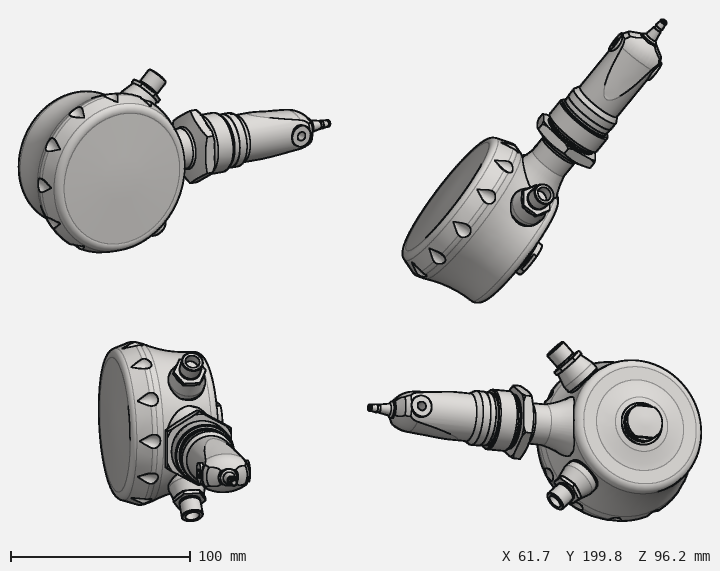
import cadquery as cq
import math

RIDGE_RADIUS = 45.5
RIDGE_CROWN = 0.2
NECK_RADIUS = 38.2
RIM_FACE_RADIUS = 33.5
RIM_DEPTH = 4.8
FLARE_END = (33.5, 44.2)
RIDGE_START = 37.4
RIDGE_END = 40.2
REAR_EDGE = (48.5, 42.5)
REAR_FACE = (51.2, 37.5)
REAR_TIP = 52.5
HUB_FACE = -3.2
HUB_EDGE = (-2.4, 15.5)
HUB_MIDDLE = (-1.0, 20.0)
HUB_FOOT_RADIUS = 26.0

CAP_RADIUS = 10.4
CAP_SHOULDER = -5.8
CAP_LIP_BOTTOM = -4.5
CAP_STEM_RADIUS = 10.0
CAP_TOP = -8.0
CAP_TIP = -9.2
CAP_FLAT = 8.8
CAP_SEAT_RADIUS = 12.0
CAP_SEAT_DEPTH = 0.8

DIMPLE_COUNT = 12
DIMPLE_RADIUS = 4.2
DIMPLE_CENTRE = (39.2, 47.0)
DIMPLE_TAIL = (47.2, 43.2)

HANDLE_X = 18.8
HANDLE_TIP = 154.5
HANDLE_ROOT = 35.2
FLARE_ROOT_RADIUS = 17.0
FLARE_MIDDLE = (13.0, 44.0)
FLARE_TOP = 50.0
NECK_TOP = 59.2
NECK_STEM_RADIUS = 11.4
GRIP_RADIUS = 13.4
GRIP_TOP = 134.0
GRIP_END_RADIUS = 4.4
GRIP_END = 141.2

GRIP_SHOULDER = (11.5, 136.8)

GROOVE_RADIUS = 14.8
LOWER_GROOVE_TOP = 69.5
SEAL_RADIUS = 15.4
SEAL_TOP = 70.8
RING_RADIUS = 16.8
RING_BOTTOM = 72.4
RING_TOP = 82.0
RING_BEVEL_RADIUS = 16.2
RING_BEVEL_TOP = 82.8
UPPER_GROOVE_TOP = 84.2
SLEEVE_RADIUS = 15.0
SLEEVE_TOP = 87.4
COLLAR_RADIUS = 15.2
COLLAR_TOP = 92.0
COLLAR_BEVEL_TOP = 95.2
MARK_DIAMETER = 1.25
MARK_Y = 91.2
MARK_DEPTH = 0.8

NOZZLE_FOOT_RADIUS = 4.8
NOZZLE_CONE_BASE = (3.4, 142.4)
BARB_RADIUS = 2.4
LOWER_BARB_TOP = 148.2
NOZZLE_STEM_RADIUS = 2.0
UPPER_BARB_BOTTOM = 149.8
UPPER_BARB_NECK_RADIUS = 1.8
TIP_RING_BOTTOM = 153.2
TIP_BEVEL = 0.5

CROWN_OFFSET = 10.8
TAPER_START = 101.8
TAPER_END = 129.5
TAPER_HEIGHT = 11.0
CROWN_END = 140.4
CROWN_END_HEIGHT = 4.4

EYE_Y = 128.2
EYE_HOLE_DIAMETER = 5.0
EYE_BOSS_DIAMETER = 12.0
EYE_BOSS_REACH = 14.0

NUT_WIDTH = 36.5
NUT_BEVEL = 1.4
NUT_BOTTOM = 60.5
NUT_TOP = 69.0
NUT_NECK_RADIUS = 12.0
NUT_CONE_TOP = 64.2
NUT_BEVEL_BOTTOM = 68.0

CONNECTOR_X = 17.0
CONNECTOR_ANGLE = 45.0
CONNECTOR_END = 62.4
PLUG_RADIUS = 6.0
PLUG_CHAMFER = 0.4
PLUG_GROOVE = 0.2
PLUG_BASE = 53.8
CONNECTOR_HEX_WIDTH = 16.0
CONNECTOR_HEX_TOP = 52.5
CONNECTOR_HEX_BOTTOM = 50.4
SOCKET_RADIUS = 10.4
SOCKET_TOP_RADIUS = 8.4
SOCKET_SHOULDER = 43.0
SOCKET_STEP = 38.8
SOCKET_FOOT_RADIUS = 10.0
SOCKET_ROOT = 28.0
BORE_DIAMETER = 8.0
BORE_DEPTH = 6.0


def make_body():
    arc_share = math.sqrt(0.5)
    rim_round_mid = (
        RIM_DEPTH * (1 - arc_share),
        RIM_FACE_RADIUS + (NECK_RADIUS - RIM_FACE_RADIUS) * arc_share,
    )
    ridge_middle = (RIDGE_START + RIDGE_END) / 2
    ridge_side = RIDGE_RADIUS - RIDGE_CROWN
    profile = (
        cq.Workplane("XY")
        .moveTo(HUB_FACE, 0)
        .lineTo(HUB_FACE, CAP_SEAT_RADIUS)
        .lineTo(*HUB_EDGE)
        .threePointArc(HUB_MIDDLE, (0, HUB_FOOT_RADIUS))
        .lineTo(0, RIM_FACE_RADIUS)
        .threePointArc(rim_round_mid, (RIM_DEPTH, NECK_RADIUS))
        .tangentArcPoint(FLARE_END, relative=False)
        .lineTo(RIDGE_START, ridge_side)
        .threePointArc((ridge_middle, RIDGE_RADIUS), (RIDGE_END, ridge_side))
        .lineTo(*REAR_EDGE)
        .tangentArcPoint(REAR_FACE, relative=False)
        .lineTo(REAR_TIP, 0)
        .close()
    )
    return profile.revolve(360, (0, 0, 0), (1, 0, 0))


def make_cap():
    cap = (
        cq.Workplane("XY")
        .moveTo(0, 0)
        .lineTo(0, CAP_STEM_RADIUS)
        .lineTo(CAP_LIP_BOTTOM, CAP_STEM_RADIUS)
        .lineTo(CAP_LIP_BOTTOM, CAP_RADIUS)
        .lineTo(CAP_TOP, CAP_RADIUS)
        .lineTo(CAP_TIP, 0)
        .close()
        .revolve(360, (0, 0, 0), (1, 0, 0))
    )
    flats_height = CAP_SHOULDER - CAP_TIP
    block = cq.Workplane("XY").box(flats_height, 2 * CAP_RADIUS, 2 * CAP_RADIUS)
    flatted_core = cq.Workplane("XY").box(flats_height, 2 * CAP_RADIUS, 2 * CAP_FLAT)
    flats = block.cut(flatted_core).translate((CAP_TIP + flats_height / 2, 0, 0))
    return cap.cut(flats)


def make_cap_seat():
    return (
        cq.Workplane("YZ", origin=(HUB_FACE, 0, 0))
        .circle(CAP_SEAT_RADIUS)
        .circle(CAP_RADIUS)
        .extrude(CAP_SEAT_DEPTH)
    )


def make_dimple():
    """Teardrop turned about a sloping line, its pointed tail on the tapering rear."""
    centre_x, centre_z = DIMPLE_CENTRE
    run = DIMPLE_TAIL[0] - centre_x
    drop = centre_z - DIMPLE_TAIL[1]
    length = math.hypot(run, drop)
    tail_angle = math.asin(DIMPLE_RADIUS / length)
    return (
        cq.Workplane("XY")
        .moveTo(-DIMPLE_RADIUS, 0)
        .spline(
            [(0, DIMPLE_RADIUS), (length, 0)],
            tangents=[(0, 1), (math.cos(tail_angle), -math.sin(tail_angle))],
            includeCurrent=True,
        )
        .close()
        .revolve(360, (0, 0, 0), (1, 0, 0))
        .rotate((0, 0, 0), (0, 1, 0), math.degrees(math.atan2(drop, run)))
        .translate((centre_x, 0, centre_z))
    )


def turned_about_y(start, steps):
    """Solid turned about the Y axis from (radius, y) points, closed along the axis."""
    profile = cq.Workplane("XY").polyline([(0, start)] + steps + [(0, steps[-1][1])])
    return profile.close().revolve(360, (0, 0, 0), (0, 1, 0))


def make_neck():
    return (
        cq.Workplane("XY")
        .moveTo(0, NUT_BOTTOM)
        .lineTo(NUT_NECK_RADIUS, NUT_BOTTOM)
        .lineTo(NECK_STEM_RADIUS, NECK_TOP)
        .lineTo(NECK_STEM_RADIUS, FLARE_TOP)
        .threePointArc(FLARE_MIDDLE, (FLARE_ROOT_RADIUS, HANDLE_ROOT))
        .lineTo(0, HANDLE_ROOT)
        .close()
        .revolve(360, (0, 0, 0), (0, 1, 0))
    )


def make_nut():
    corner_radius = NUT_WIDTH / math.sqrt(3)
    hexagon = (
        cq.Workplane("XZ", origin=(0, NUT_TOP, 0))
        .transformed(rotate=(0, 0, 90))
        .polygon(6, 2 * corner_radius)
        .extrude(NUT_TOP - NUT_BOTTOM)
    )
    bevelled = turned_about_y(
        NUT_BOTTOM,
        [
            (NUT_NECK_RADIUS, NUT_BOTTOM),
            (corner_radius, NUT_CONE_TOP),
            (corner_radius, NUT_BEVEL_BOTTOM),
            (corner_radius - NUT_BEVEL, NUT_TOP),
        ],
    )
    return hexagon.intersect(bevelled)


def make_collars():
    """Stepped rings between the nut and the grip."""
    return turned_about_y(
        NUT_TOP,
        [
            (GROOVE_RADIUS, NUT_TOP),
            (GROOVE_RADIUS, LOWER_GROOVE_TOP),
            (SEAL_RADIUS, LOWER_GROOVE_TOP),
            (SEAL_RADIUS, SEAL_TOP),
            (RING_RADIUS, RING_BOTTOM),
            (RING_RADIUS, RING_TOP),
            (RING_BEVEL_RADIUS, RING_BEVEL_TOP),
            (GROOVE_RADIUS, RING_BEVEL_TOP),
            (GROOVE_RADIUS, UPPER_GROOVE_TOP),
            (SLEEVE_RADIUS, UPPER_GROOVE_TOP),
            (SLEEVE_RADIUS, SLEEVE_TOP),
            (COLLAR_RADIUS, SLEEVE_TOP),
            (COLLAR_RADIUS, COLLAR_TOP),
            (GRIP_RADIUS, COLLAR_BEVEL_TOP),
        ],
    )


def make_crown_envelope():
    """Wide turned solid whose upper surface is the tapered, rounded top of the grip."""
    return (
        cq.Workplane("XY")
        .moveTo(0, NUT_TOP)
        .lineTo(CROWN_OFFSET + GRIP_RADIUS, NUT_TOP)
        .lineTo(CROWN_OFFSET + GRIP_RADIUS, TAPER_START)
        .lineTo(CROWN_OFFSET + TAPER_HEIGHT, TAPER_END)
        .tangentArcPoint((CROWN_OFFSET + CROWN_END_HEIGHT, CROWN_END), relative=False)
        .lineTo(0, CROWN_END)
        .close()
        .revolve(360, (0, 0, 0), (0, 1, 0))
        .translate((0, 0, -CROWN_OFFSET))
    )


def make_grip():
    grip = turned_about_y(
        NUT_TOP,
        [
            (GRIP_RADIUS, NUT_TOP),
            (GRIP_RADIUS, GRIP_TOP),
            GRIP_SHOULDER,
            (GRIP_END_RADIUS, GRIP_END),
        ],
    )
    envelope = make_crown_envelope()
    return grip.intersect(envelope).intersect(envelope.mirror("XY"))


def make_nozzle():
    """Stepped cable nozzle at the end of the handle."""
    return turned_about_y(
        GRIP_TOP,
        [
            (NOZZLE_FOOT_RADIUS, GRIP_TOP),
            (NOZZLE_FOOT_RADIUS, GRIP_END),
            NOZZLE_CONE_BASE,
            (BARB_RADIUS, LOWER_BARB_TOP),
            (NOZZLE_STEM_RADIUS, LOWER_BARB_TOP),
            (NOZZLE_STEM_RADIUS, UPPER_BARB_BOTTOM),
            (BARB_RADIUS, UPPER_BARB_BOTTOM),
            (UPPER_BARB_NECK_RADIUS, TIP_RING_BOTTOM),
            (NOZZLE_STEM_RADIUS, TIP_RING_BOTTOM),
            (NOZZLE_STEM_RADIUS, HANDLE_TIP - TIP_BEVEL),
            (NOZZLE_STEM_RADIUS - TIP_BEVEL, HANDLE_TIP),
        ],
    )


def make_handle():
    eye_plane = cq.Workplane("YZ", origin=(0, EYE_Y, 0))
    bosses = eye_plane.circle(EYE_BOSS_DIAMETER / 2).extrude(EYE_BOSS_REACH, both=True)
    eye_hole = eye_plane.circle(EYE_HOLE_DIAMETER / 2).extrude(EYE_BOSS_REACH, both=True)
    mark = (
        cq.Workplane("XY", origin=(0, MARK_Y, COLLAR_RADIUS - MARK_DEPTH))
        .circle(MARK_DIAMETER / 2)
        .extrude(2 * MARK_DEPTH)
    )
    handle = make_neck().union(make_nut()).union(make_grip()).union(make_collars())
    handle = handle.union(make_nozzle()).union(bosses).cut(eye_hole).cut(mark)
    return handle.translate((HANDLE_X, 0, 0))


def make_connector():
    """Connector along +Y: socket, hexagon and bored plug."""
    socket = turned_about_y(
        SOCKET_ROOT,
        [
            (SOCKET_FOOT_RADIUS, SOCKET_ROOT),
            (SOCKET_FOOT_RADIUS, SOCKET_STEP),
            (SOCKET_RADIUS, SOCKET_STEP),
            (SOCKET_RADIUS, SOCKET_SHOULDER),
            (SOCKET_TOP_RADIUS, CONNECTOR_HEX_BOTTOM),
        ],
    )
    hexagon = (
        cq.Workplane("XZ", origin=(0, CONNECTOR_HEX_TOP, 0))
        .polygon(6, 2 * CONNECTOR_HEX_WIDTH / math.sqrt(3))
        .extrude(CONNECTOR_HEX_TOP - CONNECTOR_HEX_BOTTOM)
    )
    groove_radius = PLUG_RADIUS - PLUG_GROOVE
    plug = turned_about_y(
        CONNECTOR_HEX_TOP,
        [
            (groove_radius, CONNECTOR_HEX_TOP),
            (groove_radius, PLUG_BASE),
            (PLUG_RADIUS, PLUG_BASE),
            (PLUG_RADIUS, CONNECTOR_END - PLUG_CHAMFER),
            (PLUG_RADIUS - PLUG_CHAMFER, CONNECTOR_END),
        ],
    )
    bore = (
        cq.Workplane("XZ", origin=(0, CONNECTOR_END, 0))
        .circle(BORE_DIAMETER / 2)
        .extrude(BORE_DEPTH)
    )
    return socket.union(hexagon).union(plug).cut(bore).translate((CONNECTOR_X, 0, 0))


result = make_body().cut(make_cap_seat()).union(make_cap())
for index in range(DIMPLE_COUNT):
    angle = index * 360 / DIMPLE_COUNT
    result = result.cut(make_dimple().rotate((0, 0, 0), (1, 0, 0), angle))

result = result.union(make_handle())
for angle in (CONNECTOR_ANGLE, -CONNECTOR_ANGLE):
    result = result.union(make_connector().rotate((0, 0, 0), (1, 0, 0), angle))